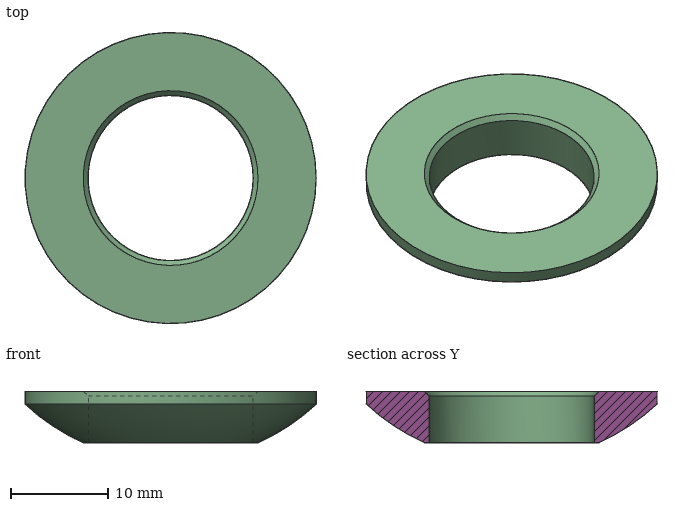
import cadquery as cq
import math

outer_radius = 15.0
height = 5.3
hole_radius = 8.5
chamfer = 0.5
seat_radius = 22.0

mouth_radius = hole_radius + chamfer

sphere_centre_z = math.sqrt(seat_radius**2 - mouth_radius**2)


def seat_point(radius):
    """Point on the lower side of the seating sphere at a given distance from the axis."""
    return (radius, sphere_centre_z - math.sqrt(seat_radius**2 - radius**2))


section = (
    cq.Workplane("XZ")
    .moveTo(hole_radius, 0)
    .lineTo(mouth_radius, 0)
    .threePointArc(
        seat_point((mouth_radius + outer_radius) / 2),
        seat_point(outer_radius),
    )
    .lineTo(outer_radius, height)
    .lineTo(mouth_radius, height)
    .lineTo(hole_radius, height - chamfer)
    .close()
)

result = section.revolve(360, (0, 0, 0), (0, 1, 0))